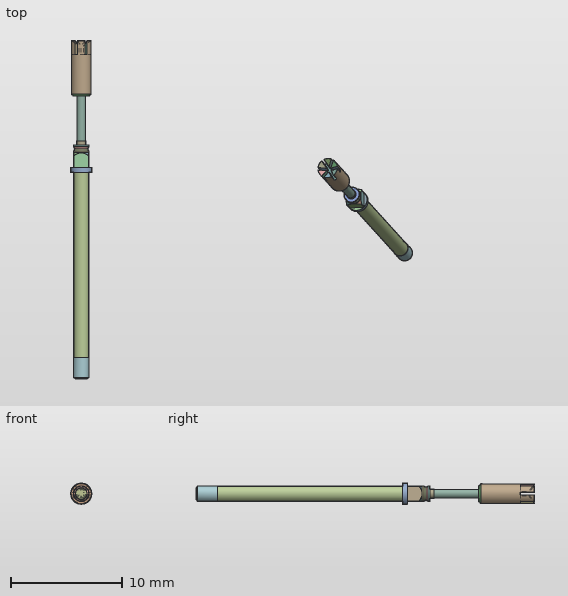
import cadquery as cq
import math

total_length = 30.4
barrel_length = 18.55
flange_thickness = 0.45
square_length = 1.32
collar_length = 0.70
head_length = 5.0
tail_length = 1.9

flange_diameter = 1.9
barrel_diameter = 1.36
collar_diameter = 1.4
tail_diameter = 1.4
rod_diameter = 0.80
neck_diameter = 0.82
head_diameter = 1.79

tail_chamfer_length = 0.13
tail_chamfer_inset = 0.18
square_side = 1.38
groove_start = 0.16
groove_width = 0.40
groove_depth = 0.12
neck_length = 0.34
head_chamfer = 0.2
slot_count = 6
slot_width = 0.22
slot_depth = 1.25
recess_angle = 110.0

tail_end = -barrel_length
flange_top = flange_thickness
square_top = flange_top + square_length
collar_top = square_top + collar_length
head_end = total_length - barrel_length
head_base = head_end - head_length


def revolve_profile(points):
    """Turn a (radius, Y) outline around the Y axis."""
    return cq.Workplane("XY").polyline(points).close().revolve(360, (0, 0, 0), (0, 1, 0))


def make_barrel():
    barrel_radius = barrel_diameter / 2
    tail_radius = tail_diameter / 2
    flange_radius = flange_diameter / 2
    tail_top = tail_end + tail_length
    return revolve_profile([
        (0, tail_end),
        (tail_radius - tail_chamfer_inset, tail_end),
        (tail_radius, tail_end + tail_chamfer_length),
        (tail_radius, tail_top),
        (barrel_radius, tail_top),
        (barrel_radius, 0),
        (flange_radius, 0),
        (flange_radius, flange_top),
        (0, flange_top),
    ])


def make_square():
    """Square shank whose corners are turned to the flange and bevelled at 45 degrees."""
    block = cq.Workplane("XY").box(square_side, square_length, square_side)
    block = block.translate((0, flange_top + square_length / 2, 0))
    corner_radius = flange_diameter / 2
    bevel_radius = square_side / 2
    envelope = revolve_profile([
        (0, flange_top),
        (corner_radius, flange_top),
        (corner_radius, square_top - (corner_radius - bevel_radius)),
        (bevel_radius, square_top),
        (0, square_top),
    ])
    return block.intersect(envelope)


def make_collar():
    """Round collar with a V groove."""
    radius = collar_diameter / 2
    groove_top = collar_top - groove_start
    return revolve_profile([
        (0, square_top),
        (radius, square_top),
        (radius, groove_top - groove_width),
        (radius - groove_depth, groove_top - groove_width / 2),
        (radius, groove_top),
        (radius, collar_top),
        (0, collar_top),
    ])


def make_plunger():
    """Rod and head, with a conical recess in the head's end."""
    rod_radius = rod_diameter / 2
    neck_radius = neck_diameter / 2
    head_radius = head_diameter / 2
    neck_top = collar_top + neck_length
    recess_depth = head_radius / math.tan(math.radians(recess_angle / 2))
    return revolve_profile([
        (0, collar_top),
        (neck_radius, collar_top),
        (neck_radius, neck_top),
        (rod_radius, neck_top),
        (rod_radius, head_base),
        (head_radius - head_chamfer, head_base),
        (head_radius, head_base + head_chamfer),
        (head_radius, head_end),
        (0, head_end - recess_depth),
    ])


def cut_slots(body):
    """Radial slots; each cut crosses the whole head and makes two opposite slots."""
    cut_count = slot_count // 2
    blank = cq.Workplane("XY").box(2 * head_diameter, slot_depth, slot_width)
    blank = blank.translate((0, head_end - slot_depth / 2, 0))
    for index in range(cut_count):
        angle = index * 180 / cut_count
        body = body.cut(blank.rotate((0, 0, 0), (0, 1, 0), angle))
    return body


plunger = cut_slots(make_plunger())
result = make_barrel().union(make_square()).union(make_collar()).union(plunger)